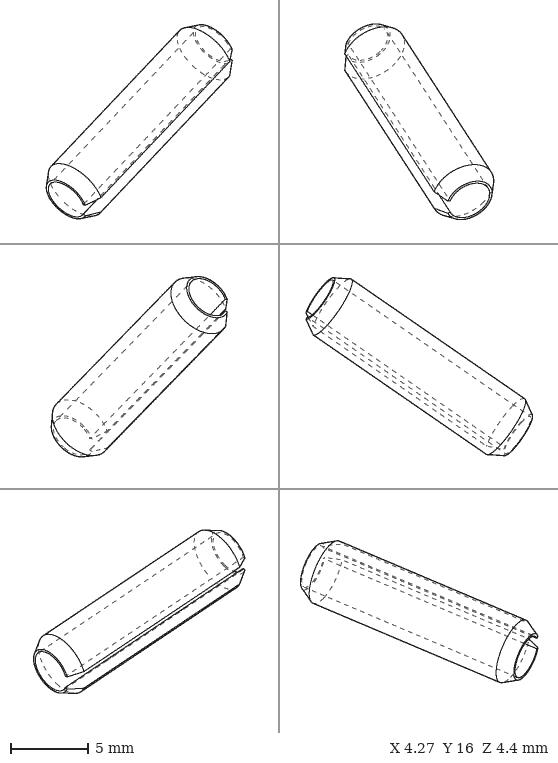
import cadquery as cq
import math

length = 16.0
outer_radius = 4.4 / 2
bore_radius = 1.45
chamfer_length = 1.0
chamfer_angle = 30.0
slot_half_angle = 20.0

end_radius = outer_radius - chamfer_length * math.tan(math.radians(chamfer_angle))
half_length = length / 2
shoulder = half_length - chamfer_length


def make_sleeve():
    """Revolve the wall section, tapered at both ends, about the Y axis."""
    wall_section = [
        (bore_radius, -half_length),
        (end_radius, -half_length),
        (outer_radius, -shoulder),
        (outer_radius, shoulder),
        (end_radius, half_length),
        (bore_radius, half_length),
    ]
    sleeve = (
        cq.Workplane("XY")
        .polyline(wall_section)
        .close()
        .revolve(360 - 2 * slot_half_angle, (0, 0, 0), (0, 1, 0))
    )
    return sleeve.rotate((0, 0, 0), (0, 1, 0), slot_half_angle)


result = make_sleeve()